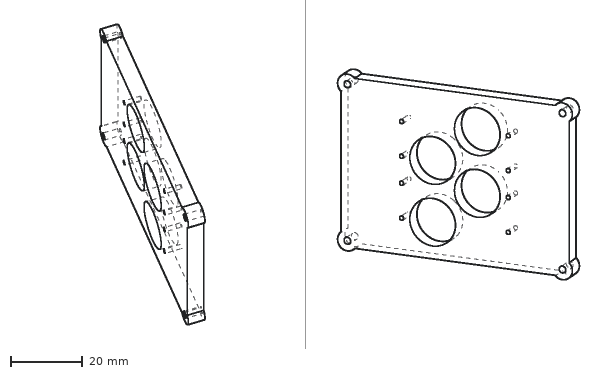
import cadquery as cq

length = 72.0
height = 52.0
thickness = 5.0

lobe_radius = 3.0
lobe_overhang = 1.0
lobe_x = length / 2 - lobe_radius
lobe_z = height / 2 - lobe_radius
corner_hole_diameter = 2.0

opening_diameter = 14.0
opening_x = 6.85
outer_row_z = 14.2
inner_row_z = 3.95
row_heights = [outer_row_z, inner_row_z, -inner_row_z, -outer_row_z]

small_hole_diameter = 1.2
small_hole_x = 16.35

corner_points = [(x, z) for x in (-lobe_x, lobe_x) for z in (-lobe_z, lobe_z)]
opening_points = [
    (-opening_x if row % 2 == 0 else opening_x, z) for row, z in enumerate(row_heights)
]
small_hole_points = [(x, z) for x in (-small_hole_x, small_hole_x) for z in row_heights]


def cylinders(points, diameter):
    """Cylinders along Y, spanning the plate thickness, at the given (x, z) points."""
    sketch = cq.Workplane("XZ").pushPoints(points).circle(diameter / 2)
    return sketch.extrude(thickness / 2, both=True)


plate = cq.Workplane("XY").box(
    length - 2 * lobe_overhang, thickness, height - 2 * lobe_overhang
)
body = plate.union(cylinders(corner_points, 2 * lobe_radius))

body = body.cut(cylinders(corner_points, corner_hole_diameter))
body = body.cut(cylinders(opening_points, opening_diameter))
body = body.cut(cylinders(small_hole_points, small_hole_diameter))

result = body